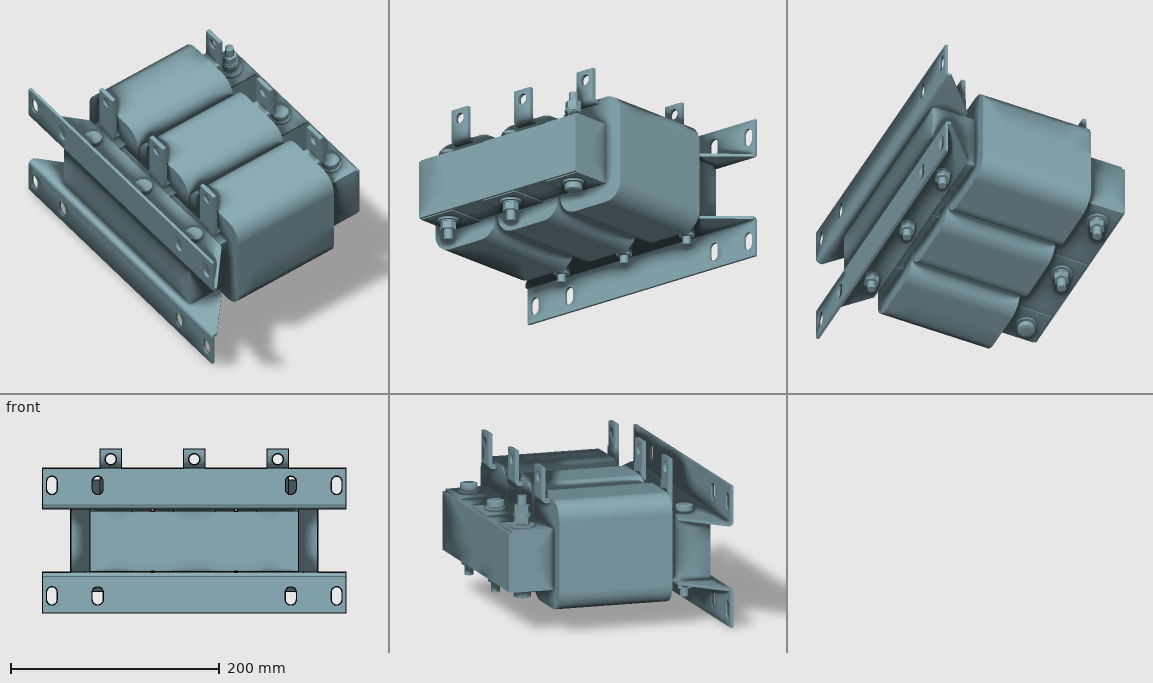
import cadquery as cq


phase_pitch = 80.0
limb_width = 40.0
core_front = 8.0
core_back = 211.5
core_bottom = -29.5
core_top = 28.2
yoke_depth = 40.0
gap_plate_thickness = 2.0
core_width = 2 * phase_pitch + limb_width
front_bolt_y = core_front + yoke_depth / 2
back_bolt_y = core_back - yoke_depth / 2
phase_centers = [-phase_pitch, 0, phase_pitch]

clamp_half_height = 30.3
strap_inset = 3.0

coil_width = 76.8
coil_front = 52.7
coil_back = 167.0
coil_bottom = -49.0
coil_top = 58.2
coil_corner_radius = 18.3

bracket_length = 291.0
bracket_outer_height = 69.5
bracket_sheet = 3.0
bracket_inner_radius = 1.2
bracket_depth = 42.5
bracket_back_length = 209.5
bracket_end_depth = 6.0
slot_length = 17.5
slot_z = 53.0
outer_slot_x = 136.5
outer_slot_width = 10.0
inner_slot_x = 92.5
inner_slot_width = 10.5

terminal_width = 20.7
terminal_sheet = 4.0
terminal_inner_radius = 1.2
terminal_top = 88.0
terminal_hole_diameter = 10.5
terminal_hole_drop = 10.0
front_stand_off = 9.5
back_stand_off = 8.5
front_foot_bottom = 32.0
back_foot_bottom = 53.0
backing_thickness = 1.0
backing_top = 63.1

front_rod_diameter = 8.0
back_rod_diameter = 8.7
front_rod_end = 49.8
back_rod_end = 51.0
stud_rod_end = 60.2
collar_diameter = 15.0
collar_height = 1.5
head_diameter = 17.0
head_height = 5.8
head_chamfer_width = 2.5
head_chamfer_height = 1.0
nut_corner_diameter = 15.0
nut_height = 7.0
front_nut_angle = 49
back_nut_angle = 30
washer_height = 2.0
washer_diameter = 20.7
wide_washer_diameter = 24.7
lock_washer_diameter = 17.0
lock_washer_height = 1.2
spacer_height = 2.0


def block(x_center, width, y_range, z_range):
    """Box centred on x_center that spans the given Y and Z ranges."""
    size_y = y_range[1] - y_range[0]
    size_z = z_range[1] - z_range[0]
    corner = (x_center - width / 2, y_range[0], z_range[0])
    return cq.Workplane("XY").box(width, size_y, size_z, centered=False).translate(corner)


def angle_strip(length, height, depth, sheet, inner_radius):
    """Bent sheet: outer corner at Y = Z = 0, upright along +Z, foot along +Y, centred in X."""
    outer_radius = inner_radius + sheet
    return (
        cq.Workplane("YZ")
        .moveTo(0, height)
        .lineTo(0, outer_radius)
        .radiusArc((outer_radius, 0), -outer_radius)
        .lineTo(depth, 0)
        .lineTo(depth, sheet)
        .lineTo(outer_radius, sheet)
        .radiusArc((sheet, outer_radius), inner_radius)
        .lineTo(sheet, height)
        .close()
        .extrude(length / 2, both=True)
    )


def core():
    """Limbs and yokes, each yoke faced with a gap plate, plus the tie straps over the limbs."""
    core_z = (core_bottom, core_top)
    front_inner = core_front + yoke_depth + gap_plate_thickness
    back_inner = core_back - yoke_depth - gap_plate_thickness
    body = block(0, core_width, (core_front, front_inner), core_z)
    body = body.union(block(0, core_width, (back_inner, core_back), core_z))
    strap_y = (core_front + strap_inset, core_back - strap_inset)
    for x in phase_centers:
        body = body.union(block(x, limb_width, (core_front, core_back), core_z))
        body = body.union(block(x, limb_width, strap_y, (-clamp_half_height, clamp_half_height)))
    return body


def coil(x):
    body = block(x, coil_width, (coil_front, coil_back), (coil_bottom, coil_top))
    return body.edges("|Y").fillet(coil_corner_radius)


def bracket():
    """Upper slotted bracket; its foot lies on the tie straps and its upright points up."""
    upright_height = bracket_outer_height - clamp_half_height
    body = angle_strip(bracket_length, upright_height, bracket_depth, bracket_sheet, bracket_inner_radius)
    outline = (
        cq.Workplane("XY")
        .polyline(
            [
                (-bracket_length / 2, 0),
                (bracket_length / 2, 0),
                (bracket_length / 2, bracket_end_depth),
                (bracket_back_length / 2, bracket_depth),
                (-bracket_back_length / 2, bracket_depth),
                (-bracket_length / 2, bracket_end_depth),
            ]
        )
        .close()
        .extrude(upright_height)
    )
    body = body.intersect(outline).translate((0, 0, clamp_half_height))
    for slot_x, slot_width in [(outer_slot_x, outer_slot_width), (inner_slot_x, inner_slot_width)]:
        slots = (
            cq.Workplane("XZ")
            .pushPoints([(-slot_x, slot_z), (slot_x, slot_z)])
            .slot2D(slot_length, slot_width, 90)
            .extrude(-bracket_sheet)
        )
        body = body.cut(slots)
    return body


def terminal(foot_bottom, stand_off):
    """Terminal bent up from a foot; the upright's outer face is at Y = 0."""
    body = angle_strip(
        terminal_width,
        terminal_top - foot_bottom,
        stand_off,
        terminal_sheet,
        terminal_inner_radius,
    ).translate((0, 0, foot_bottom))
    hole = (
        cq.Workplane("XZ")
        .center(0, terminal_top - terminal_hole_drop)
        .circle(terminal_hole_diameter / 2)
        .extrude(-terminal_sheet)
    )
    return body.cut(hole)


def front_terminal():
    """Terminal with its lower part thickened on the coil side."""
    backing_y = (terminal_sheet, terminal_sheet + backing_thickness)
    backing_z = (front_foot_bottom + terminal_sheet, backing_top)
    backing = block(0, terminal_width, backing_y, backing_z)
    body = terminal(front_foot_bottom, front_stand_off).union(backing)
    return body.translate((0, coil_front - front_stand_off, 0))


def back_terminal():
    body = terminal(back_foot_bottom, back_stand_off).mirror("XZ")
    return body.translate((0, coil_back + back_stand_off, 0))


def disc(diameter, bottom, height):
    return cq.Workplane("XY").workplane(offset=bottom).circle(diameter / 2).extrude(height)


def hex_nut(bottom, angle):
    nut = cq.Workplane("XY").workplane(offset=bottom).polygon(6, nut_corner_diameter).extrude(nut_height)
    return nut.rotate((0, 0, 0), (0, 0, 1), angle)


def bolt_head(seat):
    """Round head with a wide chamfer, standing on a narrower collar."""
    collar = disc(collar_diameter, seat, collar_height)
    head = disc(head_diameter, seat + collar_height, head_height)
    return collar.union(head.faces(">Z").chamfer(head_chamfer_height, head_chamfer_width))


def upside_down(body):
    return body.mirror("XY")


def bolt(seat, rod_diameter, rod_end, nut_angle):
    """Bolt with its head on top and its nut below, both at the same distance from Z = 0."""
    rod = disc(rod_diameter, -rod_end, rod_end + seat)
    collar = disc(collar_diameter, seat, collar_height)
    nut = hex_nut(seat + collar_height, nut_angle)
    return rod.union(bolt_head(seat)).union(upside_down(collar.union(nut)))


def front_bolt():
    return bolt(clamp_half_height + bracket_sheet, front_rod_diameter, front_rod_end, front_nut_angle)


def back_bolt():
    """Bolt seated on a washer at each end."""
    seat = clamp_half_height + washer_height
    washer = disc(washer_diameter, clamp_half_height, washer_height)
    body = bolt(seat, back_rod_diameter, back_rod_end, back_nut_angle)
    return body.union(washer).union(upside_down(washer))


def earth_stud():
    """Inverted bolt whose long upper end carries two nuts with washers between them."""
    seat = clamp_half_height + washer_height
    body = disc(back_rod_diameter, -seat, seat + stud_rod_end)
    body = body.union(upside_down(bolt_head(seat)))
    body = body.union(upside_down(disc(washer_diameter, clamp_half_height, washer_height)))
    body = body.union(disc(wide_washer_diameter, clamp_half_height, washer_height))
    body = body.union(hex_nut(seat, back_nut_angle))
    level = seat + nut_height
    body = body.union(disc(collar_diameter, level, collar_height))
    level += collar_height
    body = body.union(disc(lock_washer_diameter, level, lock_washer_height))
    level += lock_washer_height
    body = body.union(disc(collar_diameter, level, spacer_height))
    level += spacer_height
    return body.union(hex_nut(level, back_nut_angle))


result = core()
for mounting in [bracket(), upside_down(bracket())]:
    result = result.union(mounting)
for x in phase_centers:
    result = result.union(coil(x))
    result = result.union(front_terminal().translate((x, 0, 0)))
    result = result.union(back_terminal().translate((x, 0, 0)))
    result = result.union(front_bolt().translate((x, front_bolt_y, 0)))
    back_fastener = earth_stud() if x == phase_centers[0] else back_bolt()
    result = result.union(back_fastener.translate((x, back_bolt_y, 0)))